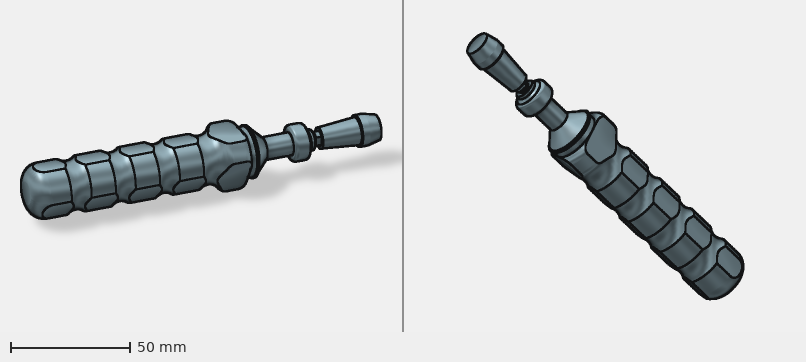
import cadquery as cq
import math


grip_radius = 24.0 / 2
groove_pitch = 20.0
groove_floor_radius = 10.5
groove_arc_radius = 7.5
butt_round = 7.0
grip_groove_count = 3

guard_radius = 30.0 / 2
guard_round = 3.0
guard_front_y = 97.1

flat_distance = 11.0
flat_count = 3

ferrule_radius = 11.0
ring_radius = 22.7 / 2
ring_back_y = 100.2
ring_front_y = 101.3
ring_bevel = 0.3
shoulder_radius = 10.8
shoulder_front_y = 107.5
shaft_radius = 5.0

collar_radius = 8.0
collar_round = 1.6
collar_back_y = 119.4
collar_front_y = 126.4
lip_radius = 4.6
lip_back_y = 127.7
lip_front_y = 129.3
lip_bevel_length = 0.6
lip_bevel_depth = 0.2

neck_radius = 2.4
hub_radius = 3.2
hub_back_y = 130.4
hub_flat_distance = 2.5

tip_back_y = 133.0
tip_land = 0.6
tip_back_radius = 4.6
tip_front_radius = 6.0
cap_radius = 6.8
cap_back_y = 149.8
cap_back_bevel = 0.3
cap_bevel_y = 153.6
cap_end_radius = 5.5
total_length = 159.0

groove_centre_radius = groove_floor_radius + groove_arc_radius


def groove_half_width(radius):
    """Half the width of a grip groove where it reaches the given radius."""
    return math.sqrt(groove_arc_radius**2 - (groove_centre_radius - radius) ** 2)


def add_grip(profile):
    """Rounded butt and the grip lands with the arc grooves between them."""
    half_width = groove_half_width(grip_radius)
    butt_arc_offset = butt_round * math.sqrt(0.5)
    profile = profile.lineTo(grip_radius - butt_round, 0).threePointArc(
        (grip_radius - butt_round + butt_arc_offset, butt_round - butt_arc_offset),
        (grip_radius, butt_round),
    )
    for index in range(grip_groove_count):
        groove_y = (index + 1) * groove_pitch
        profile = profile.lineTo(grip_radius, groove_y - half_width).threePointArc(
            (groove_floor_radius, groove_y), (grip_radius, groove_y + half_width)
        )
    return profile


def add_guard(profile):
    """Last groove, running tangent into the rounded guard, and the guard's rounded front."""
    groove_y = (grip_groove_count + 1) * groove_pitch
    round_centre_radius = guard_radius - guard_round
    radial_gap = groove_centre_radius - round_centre_radius
    centre_distance = groove_arc_radius + guard_round
    axial_gap = math.sqrt(centre_distance**2 - radial_gap**2)
    back_round_y = groove_y + axial_gap
    groove_share = groove_arc_radius / centre_distance
    tangent_point = (
        groove_centre_radius - groove_share * radial_gap,
        groove_y + groove_share * axial_gap,
    )
    sweep_middle = -math.atan2(axial_gap, radial_gap) / 2
    back_round_middle = (
        round_centre_radius + guard_round * math.cos(sweep_middle),
        back_round_y + guard_round * math.sin(sweep_middle),
    )
    front_round_y = guard_front_y - guard_round
    front_arc_offset = guard_round * math.sqrt(0.5)
    return (
        profile.lineTo(grip_radius, groove_y - groove_half_width(grip_radius))
        .threePointArc((groove_floor_radius, groove_y), tangent_point)
        .threePointArc(back_round_middle, (guard_radius, back_round_y))
        .lineTo(guard_radius, front_round_y)
        .threePointArc(
            (round_centre_radius + front_arc_offset, front_round_y + front_arc_offset),
            (round_centre_radius, guard_front_y),
        )
    )


def make_handle():
    """Revolved grip and guard with three flats cut along their length."""
    profile = cq.Workplane("XY").moveTo(0, 0)
    profile = add_guard(add_grip(profile))
    handle = profile.lineTo(0, guard_front_y).close().revolve(360, (0, 0, 0), (0, 1, 0))
    corner_circle_diameter = 2 * (2 * flat_distance)
    prism = (
        cq.Workplane("XZ")
        .transformed(rotate=(0, 0, -90))
        .polygon(flat_count, corner_circle_diameter)
        .extrude(-guard_front_y)
    )
    return handle.intersect(prism)


def make_shaft():
    """Ferrule, ring, cone, shaft and the rounded collar nut with its lip."""
    collar_arc_offset = collar_round * (1 - math.sqrt(0.5))
    return (
        cq.Workplane("XY")
        .moveTo(0, guard_front_y)
        .lineTo(ferrule_radius, guard_front_y)
        .lineTo(ferrule_radius, ring_back_y)
        .lineTo(ring_radius - ring_bevel, ring_back_y)
        .lineTo(ring_radius, ring_back_y + ring_bevel)
        .lineTo(ring_radius, ring_front_y - ring_bevel)
        .lineTo(ring_radius - ring_bevel, ring_front_y)
        .lineTo(shoulder_radius, ring_front_y)
        .lineTo(shaft_radius, shoulder_front_y)
        .lineTo(shaft_radius, collar_back_y)
        .lineTo(collar_radius - collar_round, collar_back_y)
        .threePointArc(
            (collar_radius - collar_arc_offset, collar_back_y + collar_arc_offset),
            (collar_radius, collar_back_y + collar_round),
        )
        .lineTo(collar_radius, collar_front_y - collar_round)
        .threePointArc(
            (collar_radius - collar_arc_offset, collar_front_y - collar_arc_offset),
            (collar_radius - collar_round, collar_front_y),
        )
        .lineTo(lip_radius, lip_back_y)
        .lineTo(lip_radius, lip_front_y - lip_bevel_length)
        .lineTo(lip_radius - lip_bevel_depth, lip_front_y)
        .lineTo(0, lip_front_y)
        .close()
        .revolve(360, (0, 0, 0), (0, 1, 0))
    )


def make_spindle():
    """Thin neck and a short round hub with wrench flats on its two X sides."""
    neck_length = hub_back_y - lip_front_y
    neck = cq.Workplane("XZ", origin=(0, lip_front_y, 0)).circle(neck_radius).extrude(-neck_length)
    hub_length = tip_back_y - hub_back_y
    hub_plane = cq.Workplane("XZ", origin=(0, hub_back_y, 0))
    hub = hub_plane.circle(hub_radius).extrude(-hub_length)
    flats = hub_plane.rect(2 * hub_flat_distance, 2 * hub_radius).extrude(-hub_length)
    return neck.union(hub.intersect(flats))


def make_tip():
    """Tapered tip that widens towards a bevelled cap."""
    return (
        cq.Workplane("XY")
        .moveTo(0, tip_back_y)
        .lineTo(tip_back_radius, tip_back_y)
        .lineTo(tip_back_radius, tip_back_y + tip_land)
        .lineTo(tip_front_radius, cap_back_y)
        .lineTo(cap_radius - cap_back_bevel, cap_back_y)
        .lineTo(cap_radius, cap_back_y + cap_back_bevel)
        .lineTo(cap_radius, cap_bevel_y)
        .lineTo(cap_end_radius, total_length)
        .lineTo(0, total_length)
        .close()
        .revolve(360, (0, 0, 0), (0, 1, 0))
    )


result = make_handle().union(make_shaft()).union(make_spindle()).union(make_tip())